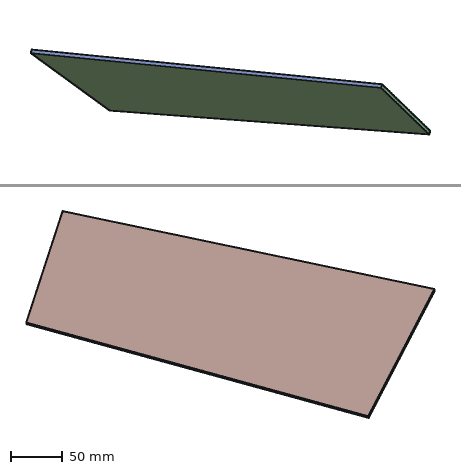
import cadquery as cq

thickness = 4.0
long_edge = 382.5
near_corner = (23.8, 149.7)
far_corner = (382.5, 126.3)

roll = -48.43
pitch = 8.00
yaw = 18.75

outline = [(0, 0), (long_edge, 0), far_corner, near_corner]
flat_plate = cq.Workplane("XY").polyline(outline).close().extrude(thickness)

result = (
    flat_plate
    .rotate((0, 0, 0), (1, 0, 0), roll)
    .rotate((0, 0, 0), (0, 1, 0), -pitch)
    .rotate((0, 0, 0), (0, 0, 1), yaw)
)